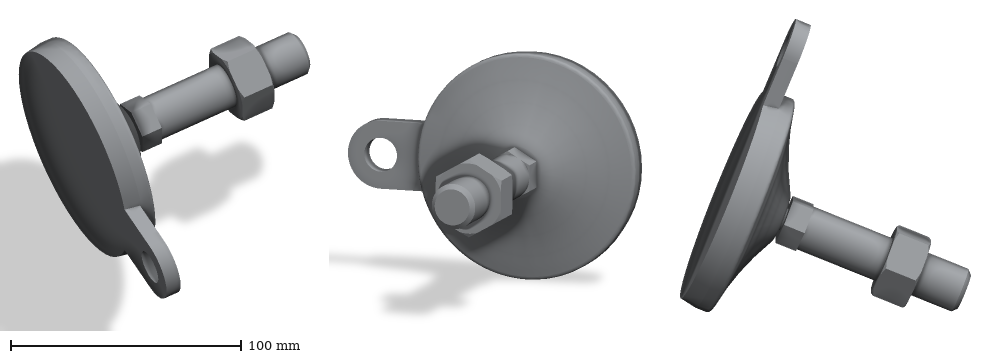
import cadquery as cq
import math


plate_radius = 50.0
sole_radius = 48.6
taper_height = 7.5
shoulder_height = 13.7
flank_mid_radius = 29.9
flank_mid_height = 18.9
crown_radius = 10.0
crown_height = 28.0
crown_rounding = 6.7
shoulder_rounding = 1.7

overall_length = 134.0
lug_width = 30.0
lug_thickness = 7.0
lug_hole_diameter = 15.0
lug_center_x = overall_length - plate_radius - lug_width / 2

stud_diameter = 20.0
stud_top = 113.5
stud_chamfer = 2.0
neck_diameter = 10.0
neck_embed = 6.7
hex_bottom = 29.0
hex_top = 38.6

nut_flats = 30.0
nut_bottom = 75.8
nut_thickness = 16.0
nut_face_radius = 15.5
nut_chamfer_angle = 30.0


def section_at(height):
    """Workplane across the Y axis whose extrusions go towards +Y."""
    return cq.Workplane("XZ", origin=(0, height, 0)).transformed(rotate=(180, 0, 0))


def corner_radius(flats):
    return flats / math.sqrt(3)


def cylinder(diameter, bottom, top):
    return section_at(bottom).circle(diameter / 2).extrude(top - bottom)


def hexagon(flats, bottom, top):
    """Hexagonal prism with flats facing +X and -X."""
    return (
        section_at(bottom)
        .transformed(rotate=(0, 0, 90))
        .polygon(6, 2 * corner_radius(flats))
        .extrude(top - bottom)
    )


def make_plate():
    """Bell-shaped disc with a tapered sole edge and a concave upper flank."""
    blank = (
        cq.Workplane("XY")
        .lineTo(sole_radius, 0)
        .lineTo(plate_radius, taper_height)
        .lineTo(plate_radius, shoulder_height)
        .threePointArc((flank_mid_radius, flank_mid_height), (crown_radius, crown_height))
        .lineTo(0, crown_height)
        .close()
        .revolve(360, (0, 0, 0), (0, 1, 0))
    )
    rounded = blank.faces(">Y").edges().fillet(crown_rounding)
    return rounded.faces("%CYLINDER").edges(">Y").fillet(shoulder_rounding)


def make_lug():
    arm = section_at(0).center(lug_center_x / 2, 0).rect(lug_center_x, lug_width).extrude(lug_thickness)
    rounded_end = cylinder(lug_width, 0, lug_thickness).translate((lug_center_x, 0, 0))
    return arm.union(rounded_end)


def make_stud():
    shank = cylinder(stud_diameter, hex_top, stud_top).faces(">Y").chamfer(stud_chamfer)
    neck = cylinder(neck_diameter, crown_height - neck_embed, hex_bottom)
    return shank.union(neck).union(hexagon(stud_diameter, hex_bottom, hex_top))


def make_nut():
    """Hexagon whose corners are cut conically at both ends."""
    nut_corner = corner_radius(nut_flats)
    chamfer_height = (nut_corner - nut_face_radius) * math.tan(math.radians(nut_chamfer_angle))
    nut_top = nut_bottom + nut_thickness
    envelope = (
        cq.Workplane("XY")
        .moveTo(0, nut_bottom)
        .lineTo(nut_face_radius, nut_bottom)
        .lineTo(nut_corner, nut_bottom + chamfer_height)
        .lineTo(nut_corner, nut_top - chamfer_height)
        .lineTo(nut_face_radius, nut_top)
        .lineTo(0, nut_top)
        .close()
        .revolve(360, (0, 0, 0), (0, 1, 0))
    )
    return hexagon(nut_flats, nut_bottom, nut_top).intersect(envelope)


lug_hole = cylinder(lug_hole_diameter, 0, lug_thickness).translate((lug_center_x, 0, 0))

result = make_plate().union(make_lug()).cut(lug_hole).union(make_stud()).union(make_nut())